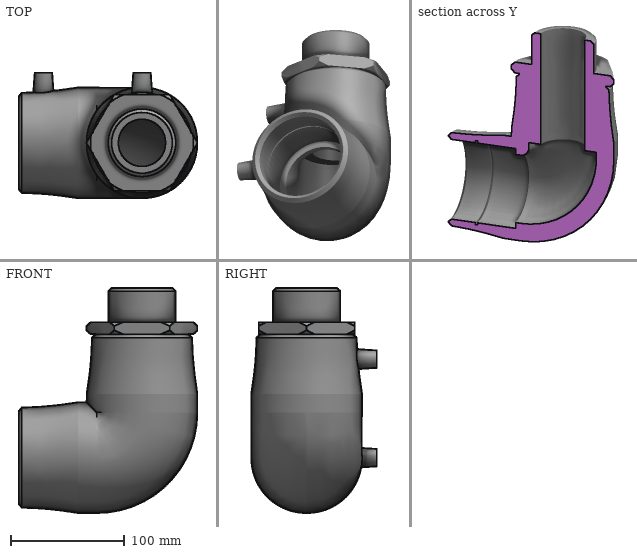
import cadquery as cq
import math

BODY_RADIUS = 49.0
BORE_RADIUS = 32.0
BEND_RADIUS = 40.0
LEG_LENGTH = 109.0
CYLINDER_END = 56.3
END_RADIUS = 44.3
END_CHAMFER_LENGTH = 3.0
END_CHAMFER_DEPTH = 3.4
FLARE_SAGITTA = 0.9

SOCKET_RADIUS = 75.0 / 2
SOCKET_DEPTH = 64.0
SOCKET_CHAMFER = 3.0
GROOVE_START = 26.0
GROOVE_WIDTH = 2.0
GROOVE_DEPTH = 2.0

HEX_SIDES = 6
HEX_ACROSS_FLATS = 85.0
HEX_CORNER_RADIUS = 49.0
HEX_HEIGHT = 10.7
HEX_CHAMFER = 3.5
THREAD_RADIUS = 59.61 / 2
THREAD_END = 150.0
THREAD_CHAMFER = 3.0
THREAD_BORE_RADIUS = 41.73 / 2

PIN_DISTANCE = 87.0
PIN_TIP_Y = 62.0
PIN_ROOT_Y = 42.5
PIN_TIP_RADIUS = 7.8
PIN_ROOT_RADIUS = 9.2

HEX_TOP = LEG_LENGTH + HEX_HEIGHT
SHOULDER = LEG_LENGTH - SOCKET_DEPTH


def disc(radius, bottom, top):
    """Upright cylinder on the Z axis between two heights."""
    return cq.Workplane("XY", origin=(0, 0, bottom)).circle(radius).extrude(top - bottom)


def spin(profile):
    """Turn a closed radius-height profile about the Z axis."""
    return profile.close().revolve(360, (0, 0, 0), (0, 1, 0))


def along_minus_x(shape):
    """Turn a shape built along +Z so that it lies along -X."""
    return shape.rotate((0, 0, 0), (0, 1, 0), -90)


def solid_leg():
    """Leg along +Z: a cylinder, then a slightly bowed narrowing stretch and an end chamfer."""
    chamfer_start = LEG_LENGTH - END_CHAMFER_LENGTH
    flare_middle = (
        (BODY_RADIUS + END_RADIUS) / 2 - FLARE_SAGITTA,
        (CYLINDER_END + chamfer_start) / 2,
    )
    return spin(
        cq.Workplane("XZ")
        .moveTo(0, BEND_RADIUS)
        .lineTo(BODY_RADIUS, BEND_RADIUS)
        .lineTo(BODY_RADIUS, CYLINDER_END)
        .threePointArc(flare_middle, (END_RADIUS, chamfer_start))
        .lineTo(END_RADIUS - END_CHAMFER_DEPTH, LEG_LENGTH)
        .lineTo(0, LEG_LENGTH)
    )


def bend(radius):
    """Quarter turn joining the legs; a section wider than the bend radius is cut off at the bend axis."""
    plane = cq.Workplane("XY", origin=(0, 0, BEND_RADIUS))
    if radius > BEND_RADIUS:
        half_chord = math.sqrt(radius**2 - BEND_RADIUS**2)
        section = (
            plane.moveTo(-BEND_RADIUS, -half_chord)
            .threePointArc((0, -radius), (radius, 0))
            .threePointArc((0, radius), (-BEND_RADIUS, half_chord))
            .close()
        )
    else:
        section = plane.circle(radius)
    return section.revolve(90, (-BEND_RADIUS, 0, 0), (-BEND_RADIUS, 1, 0))


def pin():
    """Tapered terminal pin along +Y."""
    return (
        cq.Workplane("XZ", origin=(0, PIN_ROOT_Y, 0))
        .circle(PIN_ROOT_RADIUS)
        .workplane(offset=PIN_ROOT_Y - PIN_TIP_Y)
        .circle(PIN_TIP_RADIUS)
        .loft()
    )


def hexagon():
    """Hexagon with its corners turned down and chamfered at both ends."""
    prism = (
        cq.Workplane("XY", origin=(0, 0, LEG_LENGTH))
        .polygon(HEX_SIDES, HEX_ACROSS_FLATS / math.cos(math.pi / HEX_SIDES))
        .extrude(HEX_HEIGHT)
    )
    turned = disc(HEX_CORNER_RADIUS, LEG_LENGTH, HEX_TOP).edges().chamfer(HEX_CHAMFER)
    return prism.intersect(turned)


def threaded_end():
    """Plain spigot for the external thread, chamfered at the top."""
    return disc(THREAD_RADIUS, HEX_TOP, THREAD_END).faces(">Z").edges().chamfer(THREAD_CHAMFER)


def socket_cutter():
    """Socket along +Z: chamfered mouth, grooved wall and shoulder, then the bore to the bend."""
    wall = disc(SOCKET_RADIUS, SHOULDER, LEG_LENGTH)
    bore = disc(BORE_RADIUS, BEND_RADIUS, SHOULDER)
    mouth = spin(
        cq.Workplane("XZ")
        .moveTo(0, LEG_LENGTH)
        .lineTo(SOCKET_RADIUS + SOCKET_CHAMFER, LEG_LENGTH)
        .lineTo(SOCKET_RADIUS, LEG_LENGTH - SOCKET_CHAMFER)
        .lineTo(0, LEG_LENGTH - SOCKET_CHAMFER)
    )
    groove_top = LEG_LENGTH - GROOVE_START
    groove = disc(SOCKET_RADIUS + GROOVE_DEPTH, groove_top - GROOVE_WIDTH, groove_top)
    return wall.union(bore).union(mouth).union(groove)


def threaded_leg_bore():
    """Passage through the +Z leg: the narrow thread bore, then the wide bore to the bend."""
    wide = disc(BORE_RADIUS, BEND_RADIUS, SHOULDER)
    narrow = disc(THREAD_BORE_RADIUS, SHOULDER, THREAD_END)
    return wide.union(narrow)


body = solid_leg().union(along_minus_x(solid_leg())).union(bend(BODY_RADIUS))
for pin_place in [(-PIN_DISTANCE, 0, 0), (0, 0, PIN_DISTANCE)]:
    body = body.union(pin().translate(pin_place))
body = body.union(hexagon()).union(threaded_end())

result = body.cut(along_minus_x(socket_cutter())).cut(threaded_leg_bore()).cut(bend(BORE_RADIUS))